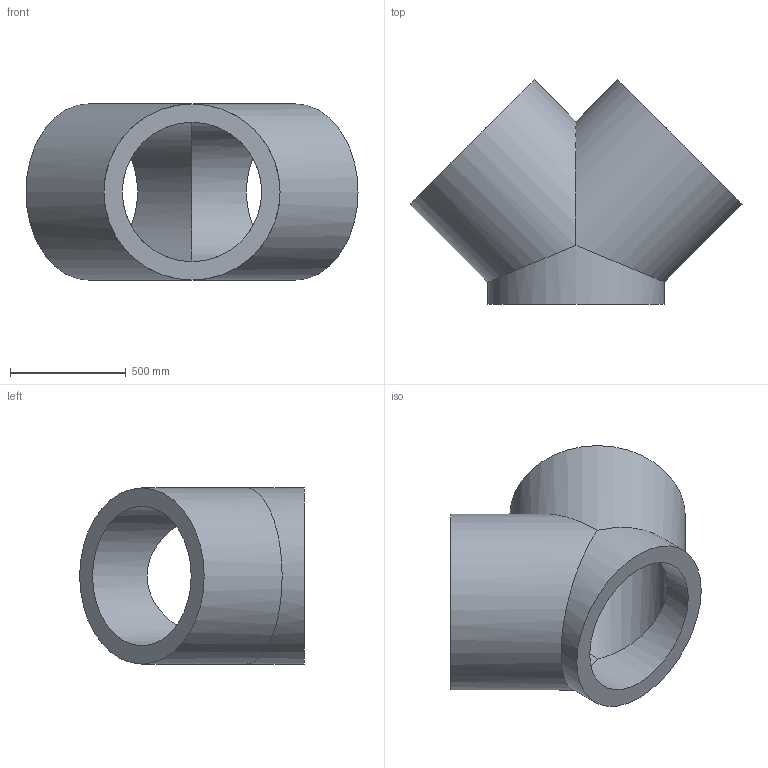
import cadquery as cq

outer_diameter = 762.0
bore_diameter = 603.25
inlet_length = 254.0
outlet_length = 635.0
outlet_angle = 45.0

wall_thickness = (outer_diameter - bore_diameter) / 2

pipes = [
    (inlet_length, 180.0),
    (outlet_length, outlet_angle),
    (outlet_length, -outlet_angle),
]


def make_cylinder(diameter, length, angle):
    """Solid cylinder running outwards from the origin in the XY plane."""
    along_y = cq.Workplane("XZ").circle(diameter / 2).extrude(-length)
    return along_y.rotate((0, 0, 0), (0, 0, 1), angle)


def join_pipes(diameter, extra_length):
    """Union of the three cylinders, each lengthened beyond its open end."""
    joined = cq.Workplane("XY")
    for length, angle in pipes:
        joined = joined.add(make_cylinder(diameter, length + extra_length, angle))
    return joined.combine()


outer_body = join_pipes(outer_diameter, 0.0)

bores = join_pipes(bore_diameter, wall_thickness)

result = outer_body.cut(bores)